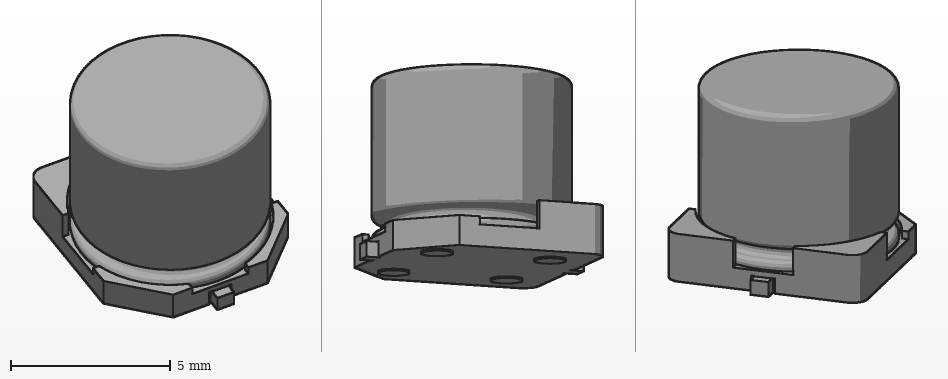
import cadquery as cq

overall_length = 7.3
base_side = 6.6
base_height = 1.6
low_corner_height = 0.955
corner_chamfer = 1.61
corner_radius = 0.5

slot_width = 2.0
seat_height = 0.7
recess_radius = 3.24

can_diameter = 6.3
can_top = 5.9
can_top_fillet = 0.25
bead_depth = 0.4

tab_width = 0.6
tab_height = 0.5
notch_chamfer = 0.1

foot_diameter = 1.0
foot_height = 0.05
foot_offset = 1.9

half_side = base_side / 2
can_radius = can_diameter / 2


def box(size_x, size_y, size_z, center_x=0, center_y=0, bottom=0):
    """Block standing on Z = bottom."""
    block = cq.Workplane("XY").box(size_x, size_y, size_z, centered=(True, True, False))
    return block.translate((center_x, center_y, bottom))


def make_base():
    """Square plate with rounded -X corners, chamfered +X corners and four corner blocks."""
    base = box(base_side, base_side, base_height)
    base = base.edges("|Z and <X").fillet(corner_radius)
    base = base.edges("|Z and >X").chamfer(corner_chamfer)

    low_side = box(half_side, base_side, base_height, (half_side + slot_width) / 2, bottom=low_corner_height)
    base = base.cut(low_side)

    base = base.cut(box(base_side, slot_width, base_height, bottom=seat_height))
    base = base.cut(box(slot_width, base_side, base_height, bottom=seat_height))
    recess = cq.Workplane("XY").workplane(offset=seat_height).circle(recess_radius).extrude(base_height)
    return base.cut(recess)


def make_can():
    """Revolved can with a rounded top rim and a smooth groove of four quarter arcs at its foot."""
    arc_radius = bead_depth / 2
    bead_top = base_height
    bead_middle = bead_top - bead_depth
    bead_bottom = bead_middle - bead_depth
    mid_radius = can_radius - arc_radius
    profile = (
        cq.Workplane("XZ")
        .moveTo(0, seat_height)
        .lineTo(can_radius, seat_height)
        .lineTo(can_radius, bead_bottom)
        .radiusArc((mid_radius, bead_bottom + arc_radius), -arc_radius)
        .radiusArc((can_radius - bead_depth, bead_middle), arc_radius)
        .radiusArc((mid_radius, bead_top - arc_radius), arc_radius)
        .radiusArc((can_radius, bead_top), -arc_radius)
        .lineTo(can_radius, can_top)
        .lineTo(0, can_top)
        .close()
    )
    can = profile.revolve(360, (0, 0, 0), (0, 1, 0))
    return can.faces(">Z").edges().fillet(can_top_fillet)


def make_notch(side):
    """Flared opening in the base beside a tab; side is -1 or +1 along X."""
    outer_half = tab_width / 2 + notch_chamfer
    inner_x = side * (half_side - notch_chamfer)
    outer_x = side * half_side
    outline = [
        (inner_x, -tab_width / 2),
        (outer_x, -outer_half),
        (outer_x, outer_half),
        (inner_x, tab_width / 2),
    ]
    return cq.Workplane("XY").polyline(outline).close().extrude(tab_height)


def make_feet():
    """Four thin round pads under the base."""
    spacing = 2 * foot_offset
    pads = cq.Workplane("XY").rarray(spacing, spacing, 2, 2).circle(foot_diameter / 2)
    return pads.extrude(-foot_height)


base = make_base()
for side in (-1, 1):
    base = base.cut(make_notch(side))

terminals = box(overall_length, tab_width, tab_height)

result = base.union(make_can()).union(terminals).union(make_feet())